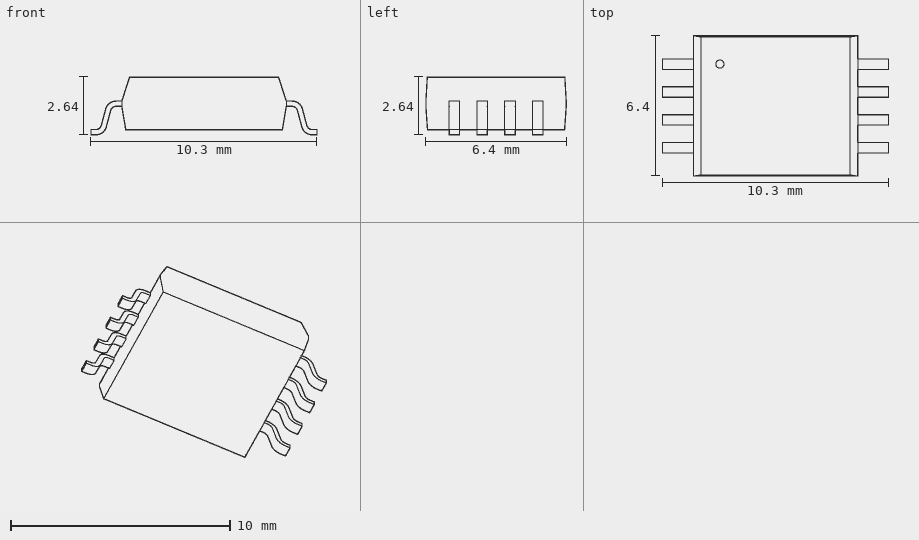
import cadquery as cq
import math

span_x = 10.31
top_z = 2.64

body_x = 7.5
body_y = 6.4
band_top_z = 1.56
band_bottom_z = 1.27
body_bottom_z = 0.23
top_inset_x = 0.35
top_inset_y = 0.06
bottom_inset_x = 0.18
bottom_inset_y = 0.07

leads_per_side = 4
lead_top_z = 1.55
lead_pitch = 1.27
lead_width = 0.48
lead_thickness = 0.25
foot_length = 0.23
bend_radius = 0.25
bend_angle = math.radians(75)

marker_diameter = 0.37
marker_depth = 0.05
marker_x = -2.54
marker_y = 1.91


def rectangle_at(z, size_x, size_y):
    """Closed rectangular wire centred on the Z axis at height z."""
    return cq.Workplane("XY", origin=(0, 0, z)).rect(size_x, size_y).val()


def tapered_block(start_z, end_z, inset_x, inset_y):
    """Block that narrows from the band outline to an inset rectangle at end_z."""
    band_outline = rectangle_at(start_z, body_x, body_y)
    end_outline = rectangle_at(end_z, body_x - 2 * inset_x, body_y - 2 * inset_y)
    return cq.Workplane(cq.Solid.makeLoft([band_outline, end_outline], True))


def make_marker():
    """Disc flush with the top face."""
    return (
        cq.Workplane("XY", origin=(marker_x, marker_y, top_z - marker_depth))
        .circle(marker_diameter / 2)
        .extrude(marker_depth)
    )


def make_housing():
    """Band with a tapered half above and below, and a recess for the marker."""
    band_height = band_top_z - band_bottom_z
    band = (
        cq.Workplane("XY", origin=(0, 0, band_bottom_z))
        .rect(body_x, body_y)
        .extrude(band_height)
    )
    upper_half = tapered_block(band_top_z, top_z, top_inset_x, top_inset_y)
    lower_half = tapered_block(band_bottom_z, body_bottom_z, bottom_inset_x, bottom_inset_y)
    return band.union(upper_half).union(lower_half).cut(make_marker())


def bend_point(center, radius, angle):
    """Point on a bend, with the angle measured from +X in the XZ plane."""
    return (center[0] + radius * math.cos(angle), center[1] + radius * math.sin(angle))


def make_left_lead(y):
    """S-shaped strip from the foot tip up to the housing's -X side, centred at y."""
    tip_x = -span_x / 2
    wall_x = -body_x / 2
    outer_radius = bend_radius + lead_thickness

    mid_radius = bend_radius + lead_thickness / 2
    rise = lead_top_z - lead_thickness
    shank_rise = rise - 2 * mid_radius * (1 - math.cos(bend_angle))
    shank_run = shank_rise / math.tan(bend_angle)
    foot_end_x = tip_x + foot_length
    shoulder_x = foot_end_x + 2 * mid_radius * math.sin(bend_angle) + shank_run
    foot_center = (foot_end_x, outer_radius)
    shoulder_center = (shoulder_x, lead_top_z - outer_radius)

    down = -math.pi / 2
    up = math.pi / 2
    profile = (
        cq.Workplane("XZ", origin=(0, y, 0))
        .moveTo(tip_x, 0)
        .lineTo(foot_end_x, 0)
        .threePointArc(
            bend_point(foot_center, outer_radius, down + bend_angle / 2),
            bend_point(foot_center, outer_radius, down + bend_angle),
        )
        .lineTo(*bend_point(shoulder_center, bend_radius, up + bend_angle))
        .threePointArc(
            bend_point(shoulder_center, bend_radius, up + bend_angle / 2),
            bend_point(shoulder_center, bend_radius, up),
        )
        .lineTo(wall_x, lead_top_z - lead_thickness)
        .lineTo(wall_x, lead_top_z)
        .lineTo(shoulder_x, lead_top_z)
        .threePointArc(
            bend_point(shoulder_center, outer_radius, up + bend_angle / 2),
            bend_point(shoulder_center, outer_radius, up + bend_angle),
        )
        .lineTo(*bend_point(foot_center, bend_radius, down + bend_angle))
        .threePointArc(
            bend_point(foot_center, bend_radius, down + bend_angle / 2),
            bend_point(foot_center, bend_radius, down),
        )
        .lineTo(tip_x, lead_thickness)
        .close()
    )
    return profile.extrude(lead_width / 2, both=True)


housing = make_housing()
marker = make_marker()

leads = []
for index in range(leads_per_side):
    lead_y = (index - (leads_per_side - 1) / 2) * lead_pitch
    left_lead = make_left_lead(lead_y)
    right_lead = left_lead.mirror("YZ")
    leads.append(left_lead.solids().val())
    leads.append(right_lead.solids().val())

result = cq.Compound.makeCompound([housing.solids().val(), marker.val(), *leads])